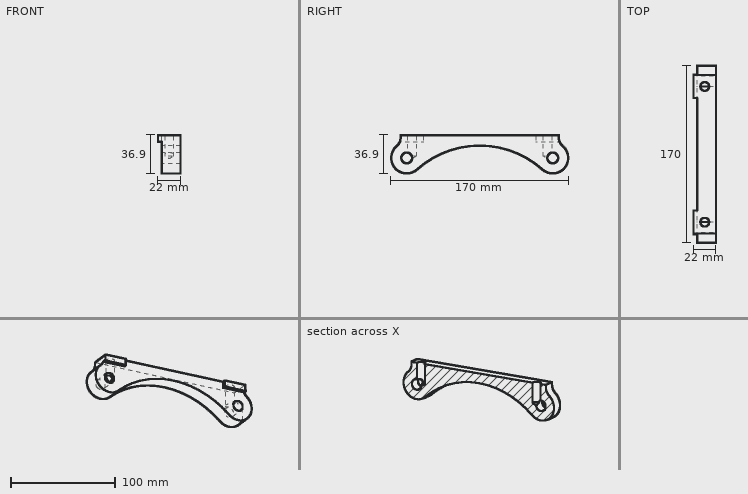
import cadquery as cq
import math

length = 170.0
total_width = 22.0
total_height = 36.9
pad_step = 3.5

lug_radius = 15.0
lug_y = length / 2 - lug_radius
lug_z = lug_radius - total_height
lug_hole_diameter = 10.2

top_half_length = 76.0
end_fillet_radius = 10.0
arch_top_z = -10.2

pad_length = 22.1
pad_height = 6.5

screw_y = 65.1
screw_diameter = 8.5
screw_depth = 20.0
drill_point_angle = 118.0


def point_towards(start, end, distance):
    """Point at the given distance from start on the line to end."""
    span = math.dist(start, end)
    return tuple(a + (b - a) * distance / span for a, b in zip(start, end))


def mirrored(point):
    return (-point[0], point[1])


def side_profile():
    """Outline in the YZ plane, with tangent arcs joining lugs, ends and arch."""
    lug = (lug_y, lug_z)

    fillet_y = top_half_length + end_fillet_radius
    fillet_reach = lug_radius + end_fillet_radius
    fillet_z = lug_z + math.sqrt(fillet_reach**2 - (fillet_y - lug_y) ** 2)
    fillet = (fillet_y, fillet_z)
    wall_end = (top_half_length, fillet_z)
    fillet_end = point_towards(lug, fillet, lug_radius)
    fillet_chord_mid = ((wall_end[0] + fillet_end[0]) / 2, (wall_end[1] + fillet_end[1]) / 2)
    fillet_mid = point_towards(fillet, fillet_chord_mid, end_fillet_radius)

    rise = arch_top_z - lug_z
    arch_radius = (lug_y**2 + rise**2 - lug_radius**2) / (2 * (rise + lug_radius))
    arch_end = point_towards(lug, (0, arch_top_z - arch_radius), lug_radius)
    lug_bottom = (lug_y, lug_z - lug_radius)

    return (
        cq.Workplane("YZ")
        .moveTo(-top_half_length, 0)
        .lineTo(top_half_length, 0)
        .lineTo(*wall_end)
        .threePointArc(fillet_mid, fillet_end)
        .threePointArc(lug_bottom, arch_end)
        .threePointArc((0, arch_top_z), mirrored(arch_end))
        .threePointArc(mirrored(lug_bottom), mirrored(fillet_end))
        .threePointArc(mirrored(fillet_mid), mirrored(wall_end))
        .close()
    )


def pad_relief():
    """Material on the -X side to remove, leaving only the two pads."""
    below_pads = cq.Workplane("XY").box(pad_step, length, total_height, centered=(False, True, False))
    below_pads = below_pads.translate((0, 0, -pad_height - total_height))
    gap_length = 2 * (top_half_length - pad_length)
    between_pads = cq.Workplane("XY").box(pad_step, gap_length, total_height, centered=(False, True, False))
    between_pads = between_pads.translate((0, 0, -total_height))
    return below_pads.union(between_pads)


def lug_holes():
    return (
        cq.Workplane("YZ")
        .pushPoints([(-lug_y, lug_z), (lug_y, lug_z)])
        .circle(lug_hole_diameter / 2)
        .extrude(total_width)
    )


def screw_hole(y):
    """Blind drilled hole with a conical bottom."""
    radius = screw_diameter / 2
    tip_depth = screw_depth + radius / math.tan(math.radians(drill_point_angle / 2))
    return (
        cq.Workplane("XZ")
        .polyline([(0, 0), (radius, 0), (radius, -screw_depth), (0, -tip_depth)])
        .close()
        .revolve(360, (0, 0), (0, 1))
        .translate((total_width / 2, y, 0))
    )


result = side_profile().extrude(total_width).cut(pad_relief()).cut(lug_holes())
for hole_y in (-screw_y, screw_y):
    result = result.cut(screw_hole(hole_y))